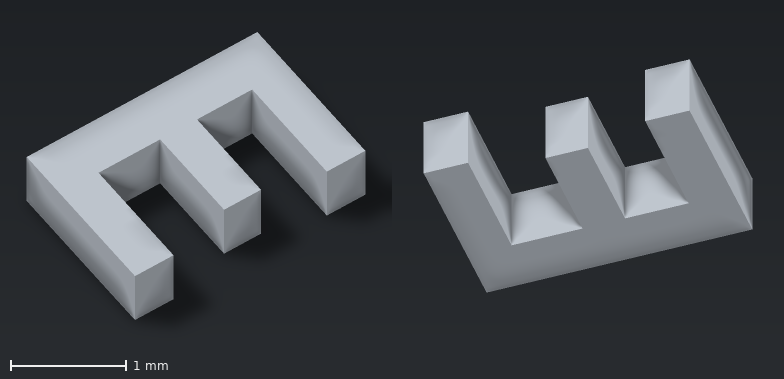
import cadquery as cq

height = 2.45
thickness = 0.6
spine_width = 0.505

bottom_arm_reach = 1.64
top_arm_reach = 1.635
middle_arm_reach = 1.472
outer_arm_width = 0.41
middle_arm_width = 0.392
middle_arm_base = 1.063


def bar(reach, width, base):
    """Block starting at the spine's outer face, with its lower side at Y = base."""
    return cq.Workplane("XY").box(reach, width, thickness, centered=False).translate((0, base, 0))


spine = bar(spine_width, height, 0)
bottom_arm = bar(bottom_arm_reach, outer_arm_width, 0)
middle_arm = bar(middle_arm_reach, middle_arm_width, middle_arm_base)
top_arm = bar(top_arm_reach, outer_arm_width, height - outer_arm_width)

result = spine.union(bottom_arm).union(middle_arm).union(top_arm).clean()